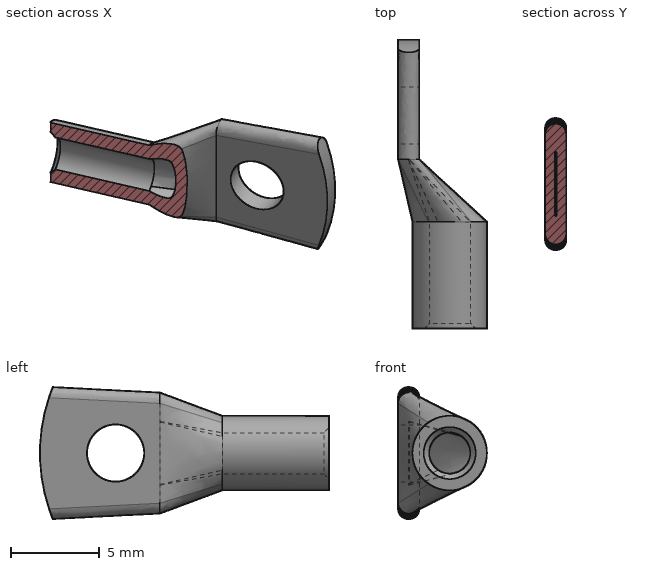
import cadquery as cq
import math


barrel_diameter = 4.2
barrel_length = 6.0
bore_diameter = 2.3
mouth_diameter = 2.92
mouth_depth = (mouth_diameter - bore_diameter) / 2

overall_length = 16.25
overall_depth = 5.0
palm_start = 9.5
palm_thickness = 1.2
palm_root_width = 6.81
palm_tip_width = 7.43
tip_rise = 0.73
hole_diameter = 3.2
hole_y = 12.0

slit_thickness = 0.06
slit_width = 3.58

side_arc_half_angle = 55.0

palm_back_x = barrel_diameter / 2 - overall_depth
palm_center_x = palm_back_x + palm_thickness / 2
tip_corner_y = overall_length - tip_rise
tip_radius = ((palm_tip_width / 2) ** 2 + tip_rise**2) / (2 * tip_rise)


def section_plane(y):
    """Cross-section plane at the given Y, with local axes along X and Z."""
    return cq.Workplane("XZ", origin=(0, y, 0))


def round_section(y, diameter):
    """Circle on the barrel axis, split into four arcs to pair with a slot."""
    radius = diameter / 2
    corner_x = radius * math.cos(math.radians(side_arc_half_angle))
    corner_z = radius * math.sin(math.radians(side_arc_half_angle))
    return (
        section_plane(y)
        .moveTo(-corner_x, -corner_z)
        .threePointArc((-radius, 0), (-corner_x, corner_z))
        .threePointArc((0, radius), (corner_x, corner_z))
        .threePointArc((radius, 0), (corner_x, -corner_z))
        .threePointArc((0, -radius), (-corner_x, -corner_z))
        .close()
        .val()
    )


def slot_section(y, thickness, width):
    """Slot in the palm's mid-plane with straight faces and half-round ends."""
    left = palm_center_x - thickness / 2
    right = palm_center_x + thickness / 2
    straight_half = (width - thickness) / 2
    return (
        section_plane(y)
        .moveTo(left, -straight_half)
        .lineTo(left, straight_half)
        .threePointArc((palm_center_x, width / 2), (right, straight_half))
        .lineTo(right, -straight_half)
        .threePointArc((palm_center_x, -width / 2), (left, -straight_half))
        .close()
        .val()
    )


def ruled_body(start, end):
    """Solid with straight rulings between two sections."""
    return cq.Workplane(cq.Solid.makeLoft([start, end], True))


def make_palm():
    """Widening tongue with rounded edges, an arched tip and a stud hole."""
    widening = (palm_tip_width - palm_root_width) / (tip_corner_y - palm_start)
    full_width = palm_root_width + widening * (overall_length - palm_start)
    blank = ruled_body(
        slot_section(palm_start, palm_thickness, palm_root_width),
        slot_section(overall_length, palm_thickness, full_width),
    )
    palm_face = cq.Workplane("YZ", origin=(palm_back_x, 0, 0))
    tip_disc = palm_face.center(overall_length - tip_radius, 0).circle(tip_radius).extrude(palm_thickness)
    stud_hole = palm_face.center(hole_y, 0).circle(hole_diameter / 2).extrude(palm_thickness)
    return blank.intersect(tip_disc).cut(stud_hole)


def make_neck():
    """Transition from the round barrel to the flat palm."""
    return ruled_body(
        round_section(barrel_length, barrel_diameter),
        slot_section(palm_start, palm_thickness, palm_root_width),
    )


def make_cavity():
    """Bore with a conical mouth, pinched to a slit inside the neck."""
    bore = section_plane(0).circle(bore_diameter / 2).extrude(-barrel_length)
    mouth = cq.Workplane(
        cq.Solid.makeCone(
            mouth_diameter / 2,
            bore_diameter / 2,
            mouth_depth,
            dir=cq.Vector(0, 1, 0),
        )
    )
    pinch = ruled_body(
        round_section(barrel_length, bore_diameter),
        slot_section(palm_start, slit_thickness, slit_width),
    )
    return bore.union(mouth).union(pinch)


barrel = section_plane(0).circle(barrel_diameter / 2).extrude(-barrel_length)
result = barrel.union(make_neck()).union(make_palm()).cut(make_cavity())